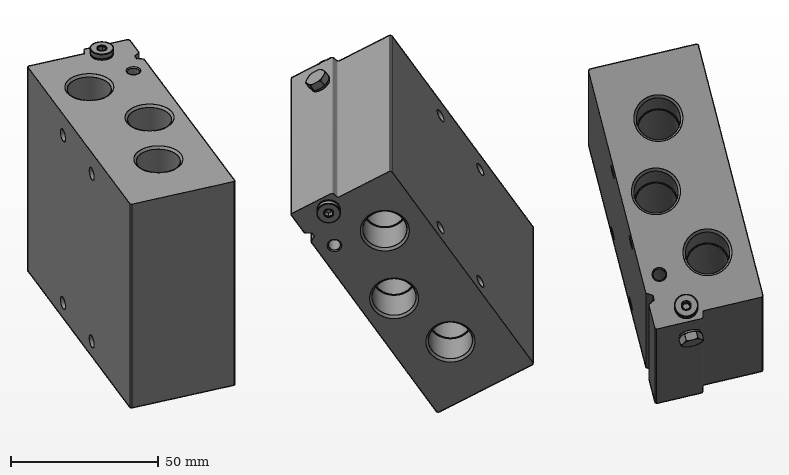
import cadquery as cq
import math

OVERALL_LENGTH = 99.1

BLOCK_DEPTH = 38.5
BLOCK_HEIGHT = 82.55
BLOCK_LEFT = 3.6
STEP_WIDTH = 2.6
STEP_TOP = 2.6
STEP_RISE = 0.7
STEP_RADIUS = 0.7
EDGE_CHAMFER = 0.5

GROOVE_X = 14.8
GROOVE_WIDTH = 4.4
GROOVE_FLOOR_WIDTH = 1.5
GROOVE_DEPTH = 2.2

PORT_CENTERS = [(26.1, -4.6), (51.3, 7.2), (76.5, 0.2)]
PORT_DIAMETER = 14.2
PORT_SEAT_DIAMETER = 15.0
PORT_MOUTH_DIAMETER = 16.6
PORT_SEAT_DEPTH = 12.9

PILOT_CENTER = (22.3, 13.2)
PILOT_DIAMETER = 4.2
PILOT_MOUTH_DIAMETER = 5.0

MOUNT_DIAMETER = 4.5
MOUNT_XS = (38.4, 64.2)
MOUNT_ZS = (32.7, -35.2)

PLUG_CENTER = (8.6, 7.1)
PLUG_HEIGHT = 2.5
PLUG_DIAMETER = 8.0
PLUG_COLLAR_DIAMETER = 7.8
PLUG_COLLAR_HEIGHT = 0.6
PLUG_EDGE_CHAMFER = 0.2
SOCKET_FLATS = 2.5
SOCKET_DEPTH = 2.1
SOCKET_RECESS_DIAMETER = 3.4
SOCKET_RECESS_DEPTH = 0.3

SCREW_Y = PLUG_CENTER[1]
SCREW_Z = 28.0
HEX_FLATS = 7.0
HEX_THICKNESS = 2.9
HEX_BEVEL_LENGTH = 0.3
HEX_BEVEL_DEPTH = 0.4
SCREW_COLLAR_DIAMETER = HEX_FLATS

block_front = -BLOCK_DEPTH / 2
block_back = BLOCK_DEPTH / 2
block_top = BLOCK_HEIGHT / 2
plug_top = block_top + PLUG_HEIGHT


def corners_across(flats):
    """Diameter across the corners of a hexagon of the given width across flats."""
    return flats / math.cos(math.pi / 6)


def mouth_cone(center, hole_diameter, mouth_diameter):
    """45-degree cone that opens a vertical hole at the block's top face."""
    height = (mouth_diameter - hole_diameter) / 2
    base = cq.Vector(*center, block_top - height)
    cone = cq.Solid.makeCone(hole_diameter / 2, mouth_diameter / 2, height, base, cq.Vector(0, 0, 1))
    return cq.Workplane(cone)


def block_body():
    lower_left = BLOCK_LEFT + STEP_WIDTH
    step_bottom = STEP_TOP - STEP_RISE
    body = (
        cq.Workplane("XY", origin=(0, 0, -block_top))
        .moveTo(lower_left, block_front)
        .lineTo(OVERALL_LENGTH, block_front)
        .lineTo(OVERALL_LENGTH, block_back)
        .lineTo(BLOCK_LEFT, block_back)
        .lineTo(BLOCK_LEFT, STEP_TOP)
        .lineTo(lower_left, step_bottom)
        .close()
        .extrude(BLOCK_HEIGHT)
    )
    body = body.edges(cq.NearestToPointSelector((BLOCK_LEFT, STEP_TOP, 0))).fillet(STEP_RADIUS)
    body = body.edges(cq.NearestToPointSelector((lower_left, step_bottom, 0))).fillet(STEP_RADIUS)
    return body.edges("|Z and (<Y or >Y)").chamfer(EDGE_CHAMFER)


def groove_cutter():
    return (
        cq.Workplane("XY", origin=(GROOVE_X, block_back, -block_top))
        .moveTo(-GROOVE_WIDTH / 2, 0)
        .lineTo(-GROOVE_FLOOR_WIDTH / 2, -GROOVE_DEPTH)
        .lineTo(GROOVE_FLOOR_WIDTH / 2, -GROOVE_DEPTH)
        .lineTo(GROOVE_WIDTH / 2, 0)
        .close()
        .extrude(BLOCK_HEIGHT)
    )


def port_cutter(center):
    """Through bore, with a wider bore and a 45-degree mouth at each end."""
    upper_half = (
        cq.Workplane("XY").center(*center).circle(PORT_DIAMETER / 2).extrude(block_top)
        .union(
            cq.Workplane("XY", origin=(*center, block_top - PORT_SEAT_DEPTH))
            .circle(PORT_SEAT_DIAMETER / 2).extrude(PORT_SEAT_DEPTH)
        )
        .union(mouth_cone(center, PORT_SEAT_DIAMETER, PORT_MOUTH_DIAMETER))
    )
    return upper_half.union(upper_half.mirror("XY"))


def pilot_cutter():
    """Through hole with a 45-degree mouth at each end."""
    upper_half = (
        cq.Workplane("XY").center(*PILOT_CENTER).circle(PILOT_DIAMETER / 2).extrude(block_top)
        .union(mouth_cone(PILOT_CENTER, PILOT_DIAMETER, PILOT_MOUTH_DIAMETER))
    )
    return upper_half.union(upper_half.mirror("XY"))


def mount_cutter():
    centers = [(x, z) for x in MOUNT_XS for z in MOUNT_ZS]
    return (
        cq.Workplane("XZ", origin=(0, block_back, 0))
        .pushPoints(centers).circle(MOUNT_DIAMETER / 2).extrude(BLOCK_DEPTH)
    )


def make_block():
    block = block_body().cut(groove_cutter()).cut(pilot_cutter()).cut(mount_cutter())
    for center in PORT_CENTERS:
        block = block.cut(port_cutter(center))
    return block


def make_upper_plug():
    collar = (
        cq.Workplane("XY", origin=(*PLUG_CENTER, block_top))
        .circle(PLUG_COLLAR_DIAMETER / 2).extrude(PLUG_COLLAR_HEIGHT)
    )
    head = (
        cq.Workplane("XY", origin=(*PLUG_CENTER, block_top + PLUG_COLLAR_HEIGHT))
        .circle(PLUG_DIAMETER / 2).extrude(PLUG_HEIGHT - PLUG_COLLAR_HEIGHT)
        .faces(">Z").chamfer(PLUG_EDGE_CHAMFER)
    )
    socket = (
        cq.Workplane("XY", origin=(*PLUG_CENTER, plug_top - SOCKET_DEPTH))
        .transformed(rotate=(0, 0, 90))
        .polygon(6, corners_across(SOCKET_FLATS)).extrude(SOCKET_DEPTH)
    )
    recess = (
        cq.Workplane("XY", origin=(*PLUG_CENTER, plug_top - SOCKET_RECESS_DEPTH))
        .circle(SOCKET_RECESS_DIAMETER / 2).extrude(SOCKET_RECESS_DEPTH)
    )
    return collar.union(head).cut(socket).cut(recess)


def make_screw():
    hexagon = (
        cq.Workplane("YZ", origin=(0, SCREW_Y, SCREW_Z))
        .polygon(6, corners_across(HEX_FLATS)).extrude(HEX_THICKNESS)
    )
    rounding = (
        cq.Workplane("YZ", origin=(0, SCREW_Y, SCREW_Z))
        .circle(corners_across(HEX_FLATS) / 2).extrude(HEX_THICKNESS)
        .faces("<X or >X").chamfer(HEX_BEVEL_LENGTH, HEX_BEVEL_DEPTH)
    )
    collar = (
        cq.Workplane("YZ", origin=(HEX_THICKNESS, SCREW_Y, SCREW_Z))
        .circle(SCREW_COLLAR_DIAMETER / 2).extrude(BLOCK_LEFT - HEX_THICKNESS)
    )
    return hexagon.intersect(rounding).union(collar)


block = make_block()
upper_plug = make_upper_plug()
plugs = [upper_plug, upper_plug.mirror("XY")]
screw = make_screw()

result = cq.Compound.makeCompound([block.val(), *[plug.val() for plug in plugs], screw.val()])